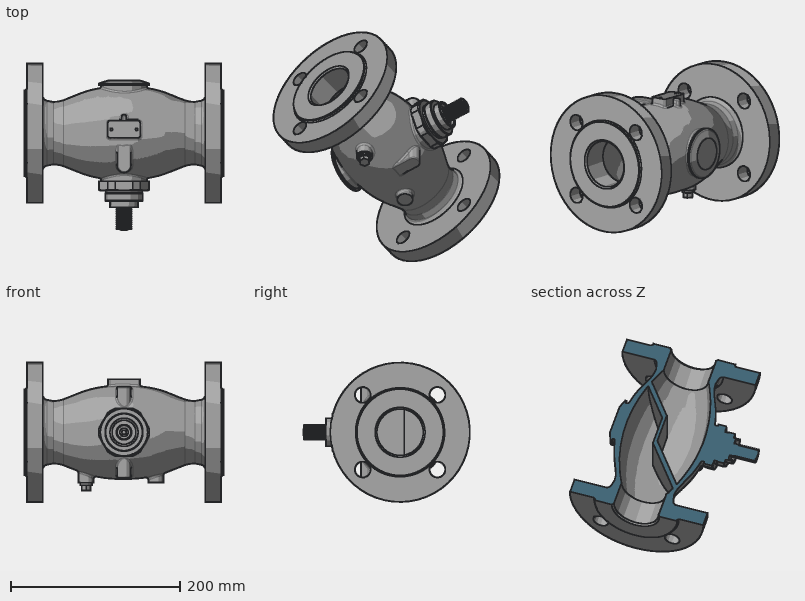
import cadquery as cq
import math

length = 236.0
half_length = length / 2
flange_diameter = 165.0
flange_radius = flange_diameter / 2
flange_thickness = 18.9
raised_face_radius = 51.0
raised_face_height = 3.3
raised_face_step = 1.7
bore_radius = 27.4
bore_chamfer = 2.1
bolt_circle_radius = 62.3
bolt_hole_radius = 9.2
bolt_count = 4

flange_outer_x = half_length - raised_face_height
flange_inner_x = flange_outer_x - flange_thickness

body_radius = 55.5
flange_fillet_start = (flange_inner_x, 42.5)
neck_start = (91.0, 38.5)
neck_waist = (83.5, 37.0)
bulge_start = (71.7, 39.0)
bulge_middle = (47.0, 48.5)
bulge_start_slope = 0.36
flange_fillet_bow = 1.0
bulge_start_sag = 0.5

cavity_radius = 47.2
cavity_end_x = 85.0
seat_y = 9.5
seat_half_length = 18.9
wall_lean = math.radians(53)
wall_offset = 4.7

side_neck_radius = 27.1
side_neck_fillet = 2.4
side_neck_depth_y = 47.2
nut_start_y = 56.6
nut_height = 11.0
nut_across_flats = 56.2
nut_corner_diameter = 59.7
nut_corner_radius = nut_corner_diameter / 2
nut_face_radius = 27.8
nut_chamfer_height = 1.0
groove_radius = 21.7
collar_radius = 22.5
collar_start_y = 70.3
collar_end_y = 80.2
collar_back_chamfer = 1.2
collar_front_chamfer = 0.7
gland_diameter = 33.3
gland_radius = gland_diameter / 2
gland_end_y = 87.8
gland_recess_radius = 14.2
gland_recess_depth = 4.7
stud_diameter = 18.2
stud_radius = stud_diameter / 2
stud_end_y = 113.8
stud_chamfer = 1.0
thread_length = 24.8
thread_depth = 1.2
thread_count = 10
thread_pitch = thread_length / thread_count
tip_base_radius = 5.0
tip_end_radius = 2.5
tip_height = 0.83

cap_start_y = 56.5
cap_rim_height = 2.8
cap_rim_chamfer = 0.7
cap_end_y = 62.3
cap_radius = nut_corner_radius
cap_slope_radius = 27.8
cap_top_radius = 18.9

plate_length = 38.0
plate_half_length = plate_length / 2
plate_front_y = -5.7
plate_back_y = 14.6
plate_center_y = (plate_back_y + plate_front_y) / 2
plate_top_z = 62.8
plate_corner_radius = 2.4
plate_foot_fillet = 2.4
plate_hole_spacing = 30.0
plate_hole_radius = 1.5
plate_hole_depth = 2.4
tab_half_width = 2.8
tab_end_y = 22.0
tab_top_z = 61.0
tab_top_fillet = 2.0

rib_half_width = 8.3
rib_end_y = -46.5
rib_top_z = 53.5
rib_foot_fillet = 2.1
rib_top_fillet = 1.2
rib_runout_y = -16.5

boss_diameter = 18.2
boss_radius = boss_diameter / 2
boss_fillet = 2.8
boss_bottom_z = -59.5
drain_boss_x = -44.8
blank_boss_x = 37.8
washer_radius = 7.0
washer_height = 3.3
drain_hex_across_corners = 12.3
drain_hex_height = 6.1

overlap_depth = 23.5
search_margin = 2.4


def revolve_about_y(points):
    """Revolve a closed outline of (radius, Y) points about the Y axis."""
    return cq.Workplane("XY").polyline(points).close().revolve(360, (0, 0, 0), (0, 1, 0))


def arc_middle(start, end, sag):
    """Point midway between two outline points, lowered by sag."""
    return ((start[0] + end[0]) / 2, (start[1] + end[1]) / 2 - sag)


def mirrored(point):
    """The same outline point at the other end of the pipe."""
    return (-point[0], point[1])


def blend_foot(solid, box_min, box_max, radius):
    """Fillet the curved edges inside the box, where a feature meets the casting."""
    box = cq.selectors.BoxSelector(box_min, box_max)
    curved = cq.selectors.TypeSelector("BSPLINE")
    return solid.edges(cq.selectors.AndSelector(curved, box)).fillet(radius)


def make_casting():
    """Turned outside of the valve: flanges, raised faces, necks and bulged body."""
    raised_step_x = half_length - raised_face_step
    flange_foot_radius = raised_face_radius + raised_face_step
    bulge_tangents = [(1, bulge_start_slope), (1, -bulge_start_slope)]
    bulge_points = [mirrored(bulge_middle), (0, body_radius), bulge_middle, bulge_start]
    flange_fillet_middle = arc_middle(flange_fillet_start, neck_start, flange_fillet_bow)
    waist_middle = arc_middle(neck_waist, bulge_start, bulge_start_sag)
    outline = (
        cq.Workplane("XY")
        .moveTo(-half_length, 0)
        .lineTo(-half_length, raised_face_radius)
        .lineTo(-raised_step_x, raised_face_radius)
        .lineTo(-flange_outer_x, flange_foot_radius)
        .lineTo(-flange_outer_x, flange_radius)
        .lineTo(-flange_inner_x, flange_radius)
        .lineTo(*mirrored(flange_fillet_start))
        .threePointArc(mirrored(flange_fillet_middle), mirrored(neck_start))
        .lineTo(*mirrored(neck_waist))
        .threePointArc(mirrored(waist_middle), mirrored(bulge_start))
        .spline(bulge_points, tangents=bulge_tangents, includeCurrent=True)
        .threePointArc(waist_middle, neck_waist)
        .lineTo(*neck_start)
        .threePointArc(flange_fillet_middle, flange_fillet_start)
        .lineTo(flange_inner_x, flange_radius)
        .lineTo(flange_outer_x, flange_radius)
        .lineTo(flange_outer_x, flange_foot_radius)
        .lineTo(raised_step_x, raised_face_radius)
        .lineTo(half_length, raised_face_radius)
        .lineTo(half_length, 0)
        .close()
    )
    casting = outline.revolve(360, (0, 0, 0), (1, 0, 0))
    return casting.rotate((0, 0, 0), (1, 0, 0), 45)


def make_side_necks():
    """Round neck through the body, carrying the nut at one end and the cap at the other."""
    return cq.Workplane("XZ").circle(side_neck_radius).extrude(nut_start_y, both=True)


def make_rib(side):
    """Upright rib with a rounded nose; side is +1 above the pipe, -1 below."""
    nose_center_y = rib_end_y + rib_half_width
    height = rib_top_z - overlap_depth
    rib = (
        cq.Workplane("XY", origin=(0, 0, overlap_depth))
        .moveTo(-rib_half_width, 0)
        .lineTo(-rib_half_width, nose_center_y)
        .threePointArc((0, rib_end_y), (rib_half_width, nose_center_y))
        .lineTo(rib_half_width, 0)
        .close()
        .extrude(height)
        .faces(">Z")
        .edges("not >Y")
        .fillet(rib_top_fillet)
    )
    return rib if side > 0 else rib.mirror("XY")


def make_plate():
    """Identification plate block with a small rounded tab behind it."""
    width = plate_back_y - plate_front_y
    block = (
        cq.Workplane("XY", origin=(0, plate_center_y, overlap_depth))
        .rect(plate_length, width)
        .extrude(plate_top_z - overlap_depth)
        .edges("|Z")
        .fillet(plate_corner_radius)
    )
    tab_center_y = tab_end_y - tab_half_width
    tab = (
        cq.Workplane("XY", origin=(0, 0, overlap_depth))
        .moveTo(-tab_half_width, plate_center_y)
        .lineTo(-tab_half_width, tab_center_y)
        .threePointArc((0, tab_end_y), (tab_half_width, tab_center_y))
        .lineTo(tab_half_width, plate_center_y)
        .close()
        .extrude(tab_top_z - overlap_depth)
        .faces(">Z")
        .edges("not <Y")
        .fillet(tab_top_fillet)
    )
    return block.union(tab)


def blend_feet(solid):
    """Round the feet of the side necks, ribs, bosses and plate; the ribs' flat tops run out sharp."""
    reach = body_radius + search_margin
    for side in (1, -1):
        neck_near = (-side_neck_radius, side * nut_start_y, -side_neck_radius)
        neck_far = (side_neck_radius, side * side_neck_depth_y, side_neck_radius)
        solid = blend_foot(solid, neck_near, neck_far, side_neck_fillet)
    for side in (1, -1):
        rib_near = (-rib_half_width - search_margin, rib_end_y, side * overlap_depth)
        rib_far = (rib_half_width + search_margin, rib_runout_y, side * reach)
        solid = blend_foot(solid, rib_near, rib_far, rib_foot_fillet)
    for boss_x in (drain_boss_x, blank_boss_x):
        boss_near = (boss_x - boss_radius - search_margin, -boss_radius - search_margin, boss_bottom_z)
        boss_far = (boss_x + boss_radius + search_margin, boss_radius + search_margin, -overlap_depth)
        solid = blend_foot(solid, boss_near, boss_far, boss_fillet)
    plate_near = (-plate_half_length - search_margin, plate_front_y - search_margin, overlap_depth)
    plate_far = (plate_half_length + search_margin, tab_end_y + search_margin, reach)
    return blend_foot(solid, plate_near, plate_far, plate_foot_fillet)


def make_plate_holes():
    """Two shallow pin holes in the plate."""
    return (
        cq.Workplane("XY", origin=(0, plate_center_y, plate_top_z))
        .rarray(plate_hole_spacing, 2.4, 2, 1)
        .circle(plate_hole_radius)
        .extrude(-plate_hole_depth)
    )


def make_boss(x):
    """Round boss hanging below the body."""
    start_z = -overlap_depth
    return cq.Workplane("XY", origin=(x, 0, start_z)).circle(boss_radius).extrude(boss_bottom_z - start_z)


def make_drain_plug():
    """Washer and hexagon head with two corners facing along Y."""
    washer = cq.Workplane("XY", origin=(drain_boss_x, 0, boss_bottom_z)).circle(washer_radius)
    hexagon = cq.Workplane("XY", origin=(drain_boss_x, 0, boss_bottom_z - washer_height))
    head = hexagon.polygon(6, drain_hex_across_corners).extrude(-drain_hex_height)
    head = head.rotate((drain_boss_x, 0, 0), (drain_boss_x, 0, 1), 30)
    return washer.extrude(-washer_height).union(head)


def make_flow_space():
    """Bores and bulged cavity, less the wall that divides them."""
    mouth_radius = bore_radius + bore_chamfer
    chamfer_x = half_length - bore_chamfer
    space = (
        cq.Workplane("XY")
        .moveTo(-half_length, 0)
        .lineTo(-half_length, mouth_radius)
        .lineTo(-chamfer_x, bore_radius)
        .lineTo(-cavity_end_x, bore_radius)
        .threePointArc((0, cavity_radius), (cavity_end_x, bore_radius))
        .lineTo(chamfer_x, bore_radius)
        .lineTo(half_length, mouth_radius)
        .lineTo(half_length, 0)
        .close()
        .revolve(360, (0, 0, 0), (1, 0, 0))
    )
    leg_rise = body_radius
    leg_run = leg_rise * math.tan(wall_lean)
    wall_face = [
        (-seat_half_length - leg_run, seat_y - leg_rise),
        (-seat_half_length, seat_y),
        (seat_half_length, seat_y),
        (seat_half_length + leg_run, seat_y + leg_rise),
    ]
    wall_back = [(x + wall_offset, y - wall_offset) for x, y in reversed(wall_face)]
    wall = cq.Workplane("XY").polyline(wall_face + wall_back).close().extrude(body_radius, both=True)
    return space.cut(wall)


def make_bolt_holes():
    """Bolt holes through both flanges, leaving the body between them whole."""
    return (
        cq.Workplane("YZ", origin=(-half_length, 0, 0))
        .polarArray(bolt_circle_radius, 45, 360, bolt_count)
        .circle(bolt_hole_radius)
        .extrude(length)
        .cut(cq.Workplane("YZ").circle(flange_radius).extrude(flange_inner_x, both=True))
    )


def make_nut():
    """Hexagon with flats facing up and down and its corners turned round."""
    across_corners = nut_across_flats / math.cos(math.pi / 6)
    plane = cq.Workplane("XZ", origin=(0, -nut_start_y, 0))
    hexagon = plane.polygon(6, across_corners).extrude(nut_height)
    nut_end_y = nut_start_y + nut_height
    turned_blank = revolve_about_y(
        [
            (0, -nut_start_y),
            (nut_corner_radius, -nut_start_y),
            (nut_corner_radius, -nut_end_y + nut_chamfer_height),
            (nut_face_radius, -nut_end_y),
            (0, -nut_end_y),
        ]
    )
    return hexagon.intersect(turned_blank)


def make_stem():
    """Groove, collar, gland and threaded stud turned about the stem axis."""
    recess_y = gland_end_y - gland_recess_depth
    thread_start_y = stud_end_y - stud_chamfer - thread_length
    outline = [
        (0, -nut_start_y),
        (groove_radius, -nut_start_y),
        (groove_radius, -collar_start_y),
        (collar_radius - collar_back_chamfer, -collar_start_y),
        (collar_radius, -collar_start_y - collar_back_chamfer),
        (collar_radius, -collar_end_y + collar_front_chamfer),
        (collar_radius - collar_front_chamfer, -collar_end_y),
        (gland_radius, -collar_end_y),
        (gland_radius, -gland_end_y),
        (gland_recess_radius, -gland_end_y),
        (gland_recess_radius, -recess_y),
        (stud_radius, -recess_y),
    ]
    for turn in range(thread_count):
        crest_y = thread_start_y + turn * thread_pitch
        outline.append((stud_radius, -crest_y))
        outline.append((stud_radius - thread_depth, -crest_y - thread_pitch / 2))
    outline += [
        (stud_radius, -stud_end_y + stud_chamfer),
        (stud_radius - stud_chamfer, -stud_end_y),
        (tip_base_radius, -stud_end_y),
        (tip_end_radius, -stud_end_y - tip_height),
        (0, -stud_end_y - tip_height),
    ]
    return revolve_about_y(outline)


def make_cap():
    """Rimmed cap with a sloping shoulder, opposite the stem."""
    rim_top_y = cap_start_y + cap_rim_height
    return revolve_about_y(
        [
            (0, cap_start_y),
            (cap_radius, cap_start_y),
            (cap_radius, rim_top_y - cap_rim_chamfer),
            (cap_slope_radius, rim_top_y),
            (cap_top_radius, cap_end_y),
            (0, cap_end_y),
        ]
    )


casting = make_casting().union(make_side_necks())
for side in (1, -1):
    casting = casting.union(make_rib(side))
casting = casting.union(make_plate())
for boss_x in (drain_boss_x, blank_boss_x):
    casting = casting.union(make_boss(boss_x))
casting = blend_feet(casting)

result = casting.union(make_drain_plug())
result = result.cut(make_plate_holes()).cut(make_flow_space()).cut(make_bolt_holes())
result = result.union(make_nut()).union(make_stem()).union(make_cap())